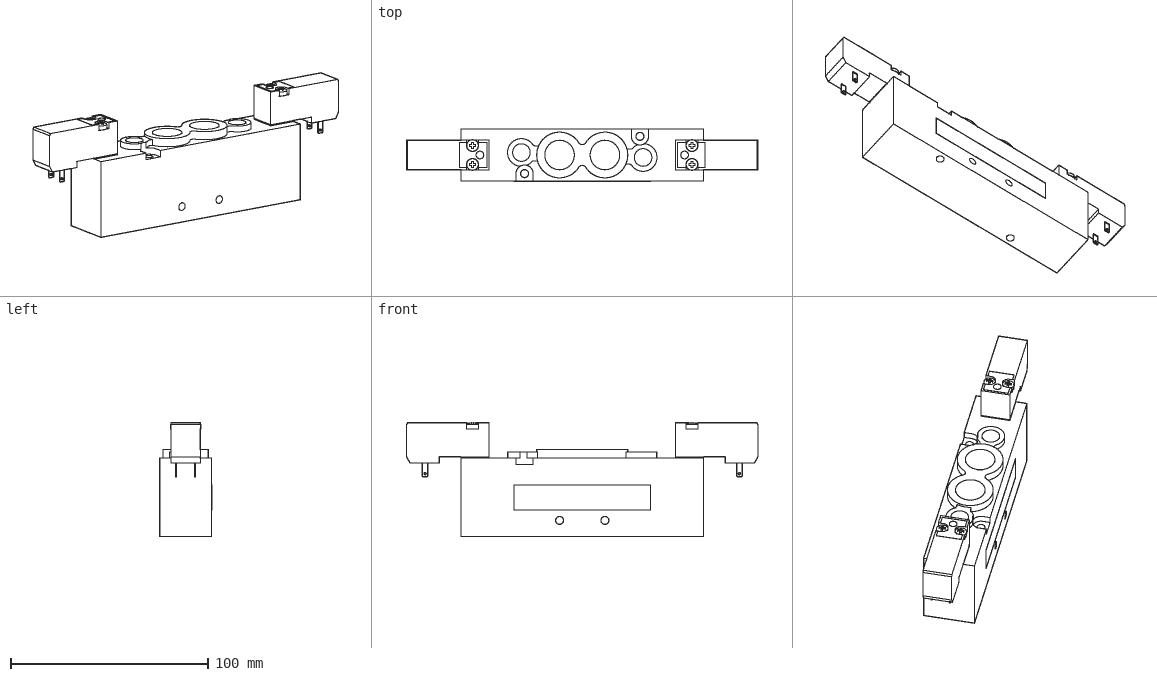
import cadquery as cq
import math

OVERALL_LENGTH = 178.2
OVERALL_HEIGHT = 57.7
OVERALL_WIDTH = 26.5
HOUSING_LENGTH = 123.0
HOUSING_HEIGHT = 40.0

MAIN_PORT_SPACING = 23.0
MAIN_PORT_OFFSET = MAIN_PORT_SPACING / 2
MAIN_COLLAR_DIAMETER = 23.2
MAIN_COLLAR_HEIGHT = 4.3
MAIN_BORE_DIAMETER = 15.0
MAIN_BORE_DEPTH = 14.3
WAIST_RADIUS = 2.0

PILOT_PORT_X = 30.8
PILOT_PORT_Y = 1.2
PILOT_COLLAR_DIAMETER = 14.0
PILOT_COLLAR_HEIGHT = 3.0
PILOT_BORE_DIAMETER = 8.9
PILOT_BORE_DEPTH = 8.9
BRIDGE_WIDTH = 7.5
BRIDGE_Y = 0.8
BRIDGE_FILLET = 2.0

MOUNT_X = 29.2
MOUNT_Y = 9.5
MOUNT_SEAT_WIDTH = 8.7
MOUNT_SEAT_DEPTH = 3.4
HOLE_DIAMETER = 4.0
SIDE_HOLE_HEIGHT = 8.2
NAMEPLATE_LENGTH = 69.1
NAMEPLATE_HEIGHT = 12.8
NAMEPLATE_BOTTOM = 13.4
NAMEPLATE_THICKNESS = 0.1

HOUSING_WIDTH = OVERALL_WIDTH - NAMEPLATE_THICKNESS

GASKET_THICKNESS = 0.5
SOLENOID_LENGTH = 41.9
SOLENOID_WIDTH = 15.0
CONNECTOR_LENGTH = 16.8
CONNECTOR_DROP = 3.2
LOWER_CHAMFER_LENGTH = 1.8
LOWER_CHAMFER_HEIGHT = 3.2
UPPER_CHAMFER_LENGTH = 0.5
UPPER_CHAMFER_HEIGHT = 1.0

PANEL_LENGTH = 13.9
PANEL_WIDTH = 12.8
PANEL_DEPTH = 0.1
PANEL_MARGIN = 1.0
BUTTON_DIAMETER = 4.0
BUTTON_INSET = 4.6

SCREW_INSET = 8.4
PAIR_SPACING = 9.6
SCREW_DIAMETER = 5.9
SCREW_POCKET_WIDTH = 6.0
SCREW_POCKET_DEPTH = 3.2
SCREW_RIM_DEPTH = 1.0
SCREW_DOME_HEIGHT = 1.0
CROSS_LENGTH = 3.0
CROSS_WIDTH = 0.8
CROSS_DEPTH = 1.0

TERMINAL_FROM_END = 9.5
TERMINAL_WIDTH = 2.9
TERMINAL_THICKNESS = 0.5
TERMINAL_LENGTH = 7.0
TERMINAL_CORNER = 0.4
TERMINAL_HOLE_DIAMETER = 1.0
TERMINAL_HOLE_FROM_TIP = 1.6

SOLENOID_OUTER_X = OVERALL_LENGTH / 2
SOLENOID_INNER_X = SOLENOID_OUTER_X - SOLENOID_LENGTH
SOLENOID_BASE = HOUSING_HEIGHT + GASKET_THICKNESS
CONNECTOR_BASE = SOLENOID_BASE - CONNECTOR_DROP
SCREW_X = SOLENOID_INNER_X + SCREW_INSET
PAIR_Y = (-PAIR_SPACING / 2, PAIR_SPACING / 2)


def box(length, width, height, x, y, z):
    """Box centred on (x, y) and standing on height z."""
    return cq.Workplane("XY", origin=(x, y, z)).box(length, width, height, centered=(True, True, False))


def cylinder(diameter, height, x, y, z):
    """Upright cylinder standing on height z."""
    return cq.Workplane("XY", origin=(x, y, z)).circle(diameter / 2).extrude(height)


def half_turn(shape):
    """Copy turned by 180 degrees about the vertical axis of the housing."""
    return shape.rotate((0, 0, 0), (0, 0, 1), 180)


def main_collars():
    """Two round collars whose meeting corners are rounded into a waist."""
    radius = MAIN_COLLAR_DIAMETER / 2
    collars = cylinder(MAIN_COLLAR_DIAMETER, MAIN_COLLAR_HEIGHT, MAIN_PORT_OFFSET, 0, HOUSING_HEIGHT)
    collars = collars.union(half_turn(collars))
    arc_centre_y = math.sqrt((radius + WAIST_RADIUS) ** 2 - MAIN_PORT_OFFSET**2)
    reach = radius / (radius + WAIST_RADIUS)
    touch_x = MAIN_PORT_OFFSET * (1 - reach)
    touch_y = arc_centre_y * reach
    waist_y = arc_centre_y - WAIST_RADIUS
    waist = (
        cq.Workplane("XY", origin=(0, 0, HOUSING_HEIGHT))
        .moveTo(-touch_x, -touch_y)
        .threePointArc((0, -waist_y), (touch_x, -touch_y))
        .lineTo(touch_x, touch_y)
        .threePointArc((0, waist_y), (-touch_x, touch_y))
        .close()
        .extrude(MAIN_COLLAR_HEIGHT)
    )
    return collars.union(waist)


def pilot_collar():
    """Lower collar at the +X end with the web that joins it to the main collar."""
    collar = cylinder(PILOT_COLLAR_DIAMETER, PILOT_COLLAR_HEIGHT, PILOT_PORT_X, -PILOT_PORT_Y, HOUSING_HEIGHT)
    bridge_length = PILOT_PORT_X - MAIN_PORT_OFFSET
    bridge_x = (PILOT_PORT_X + MAIN_PORT_OFFSET) / 2
    bridge = box(bridge_length, BRIDGE_WIDTH, PILOT_COLLAR_HEIGHT, bridge_x, -BRIDGE_Y, HOUSING_HEIGHT)
    corner_x = PILOT_PORT_X - PILOT_COLLAR_DIAMETER / 2
    corners = cq.selectors.BoxSelector(
        (corner_x, -MOUNT_Y, HOUSING_HEIGHT),
        (PILOT_PORT_X - BRIDGE_FILLET, MOUNT_Y, HOUSING_HEIGHT + PILOT_COLLAR_HEIGHT),
    )
    return collar.union(bridge).edges("|Z").edges(corners).fillet(BRIDGE_FILLET)


def bore(diameter, depth, x, y, top):
    """Blind bore going down from height top."""
    return cylinder(diameter, depth, x, y, top - depth)


def mounting_cut():
    """Mounting hole with a round-ended seat that opens through the +Y side."""
    seat_base = HOUSING_HEIGHT - MOUNT_SEAT_DEPTH
    seat_height = MOUNT_SEAT_DEPTH + PILOT_COLLAR_HEIGHT
    to_side = HOUSING_WIDTH / 2 - MOUNT_Y
    seat = cylinder(MOUNT_SEAT_WIDTH, seat_height, MOUNT_X, MOUNT_Y, seat_base)
    mouth = box(MOUNT_SEAT_WIDTH, to_side, seat_height, MOUNT_X, MOUNT_Y + to_side / 2, seat_base)
    hole = cylinder(HOLE_DIAMETER, HOUSING_HEIGHT, MOUNT_X, MOUNT_Y, 0)
    return seat.union(mouth).union(hole)


def side_holes():
    """Two holes running through the housing along Y."""
    return (
        cq.Workplane("XZ", origin=(0, HOUSING_WIDTH / 2, SIDE_HOLE_HEIGHT))
        .pushPoints([(-MAIN_PORT_OFFSET, 0), (MAIN_PORT_OFFSET, 0)])
        .circle(HOLE_DIAMETER / 2)
        .extrude(HOUSING_WIDTH)
    )


def nameplate():
    """Thin raised field on the -Y side."""
    y = -(HOUSING_WIDTH + NAMEPLATE_THICKNESS) / 2
    return box(NAMEPLATE_LENGTH, NAMEPLATE_THICKNESS, NAMEPLATE_HEIGHT, 0, y, NAMEPLATE_BOTTOM)


def make_housing():
    body = box(HOUSING_LENGTH, HOUSING_WIDTH, HOUSING_HEIGHT, 0, 0, 0)
    collar = pilot_collar()
    body = body.union(main_collars()).union(collar).union(half_turn(collar))
    main_top = HOUSING_HEIGHT + MAIN_COLLAR_HEIGHT
    pilot_top = HOUSING_HEIGHT + PILOT_COLLAR_HEIGHT
    end_cuts = (
        bore(MAIN_BORE_DIAMETER, MAIN_BORE_DEPTH, MAIN_PORT_OFFSET, 0, main_top),
        bore(PILOT_BORE_DIAMETER, PILOT_BORE_DEPTH, PILOT_PORT_X, -PILOT_PORT_Y, pilot_top),
        mounting_cut(),
    )
    for cut in end_cuts:
        body = body.cut(cut).cut(half_turn(cut))
    return body.cut(side_holes()).union(nameplate())


def make_gasket():
    """Thin sheet between the housing and the part of the solenoid above it."""
    length = HOUSING_LENGTH / 2 - SOLENOID_INNER_X
    return box(length, SOLENOID_WIDTH, GASKET_THICKNESS, SOLENOID_INNER_X + length / 2, 0, HOUSING_HEIGHT)


def solenoid_block():
    """Side outline with a deeper connector part and two chamfers at the outer end."""
    step_x = SOLENOID_OUTER_X - CONNECTOR_LENGTH
    outline = [
        (SOLENOID_INNER_X, SOLENOID_BASE),
        (step_x, SOLENOID_BASE),
        (step_x, CONNECTOR_BASE),
        (SOLENOID_OUTER_X - LOWER_CHAMFER_LENGTH, CONNECTOR_BASE),
        (SOLENOID_OUTER_X, CONNECTOR_BASE + LOWER_CHAMFER_HEIGHT),
        (SOLENOID_OUTER_X, OVERALL_HEIGHT - UPPER_CHAMFER_HEIGHT),
        (SOLENOID_OUTER_X - UPPER_CHAMFER_LENGTH, OVERALL_HEIGHT),
        (SOLENOID_INNER_X, OVERALL_HEIGHT),
    ]
    return cq.Workplane("XZ").polyline(outline).close().extrude(SOLENOID_WIDTH / 2, both=True)


def panel_recess():
    """Shallow rectangular recess that leaves the round override button standing."""
    floor = OVERALL_HEIGHT - PANEL_DEPTH
    panel_x = SOLENOID_INNER_X + PANEL_MARGIN + PANEL_LENGTH / 2
    panel = box(PANEL_LENGTH, PANEL_WIDTH, PANEL_DEPTH, panel_x, 0, floor)
    return panel.cut(cylinder(BUTTON_DIAMETER, PANEL_DEPTH, SOLENOID_INNER_X + BUTTON_INSET, 0, floor))


def screw_pocket(y):
    """Round-ended pocket around a screw, open through the nearer side of the solenoid."""
    base = OVERALL_HEIGHT - SCREW_POCKET_DEPTH
    to_side = SOLENOID_WIDTH / 2 - PAIR_SPACING / 2
    mouth_y = y + math.copysign(to_side / 2, y)
    mouth = box(SCREW_POCKET_WIDTH, to_side, SCREW_POCKET_DEPTH, SCREW_X, mouth_y, base)
    return mouth.union(cylinder(SCREW_POCKET_WIDTH, SCREW_POCKET_DEPTH, SCREW_X, y, base))


def screw_head(y):
    """Domed screw head with a cross recess, standing on its pocket floor."""
    radius = SCREW_DIAMETER / 2
    base = OVERALL_HEIGHT - SCREW_POCKET_DEPTH
    rim = SCREW_POCKET_DEPTH - SCREW_RIM_DEPTH
    crown = rim + SCREW_DOME_HEIGHT
    sphere_radius = (radius**2 + SCREW_DOME_HEIGHT**2) / (2 * SCREW_DOME_HEIGHT)
    half_radius = radius / 2
    mid_height = crown - sphere_radius + math.sqrt(sphere_radius**2 - half_radius**2)
    head = (
        cq.Workplane("XZ", origin=(SCREW_X, y, base))
        .lineTo(radius, 0)
        .lineTo(radius, rim)
        .threePointArc((half_radius, mid_height), (0, crown))
        .close()
        .revolve(360, (0, 0), (0, 1))
    )
    cross_base = base + crown - CROSS_DEPTH
    for length, width in ((CROSS_LENGTH, CROSS_WIDTH), (CROSS_WIDTH, CROSS_LENGTH)):
        head = head.cut(box(length, width, CROSS_DEPTH, SCREW_X, y, cross_base))
    return head


def terminal(y):
    """Flat blade hanging below the connector, with a small hole near its tip."""
    x = SOLENOID_OUTER_X - TERMINAL_FROM_END
    tip = CONNECTOR_BASE - TERMINAL_LENGTH
    blade = box(TERMINAL_WIDTH, TERMINAL_THICKNESS, TERMINAL_LENGTH, x, y, tip)
    blade = blade.edges("|Y and <Z").chamfer(TERMINAL_CORNER)
    hole = (
        cq.Workplane("XZ", origin=(x, y, tip + TERMINAL_HOLE_FROM_TIP))
        .circle(TERMINAL_HOLE_DIAMETER / 2)
        .extrude(TERMINAL_THICKNESS, both=True)
    )
    return blade.cut(hole)


def make_solenoid():
    body = solenoid_block().cut(panel_recess())
    for y in PAIR_Y:
        body = body.cut(screw_pocket(y))
        body = body.union(screw_head(y)).union(terminal(y))
    return body


housing = make_housing()
gasket = make_gasket()
solenoid = make_solenoid()

bodies = [housing.val()]
for end_part in (gasket, solenoid):
    bodies.append(end_part.val())
    bodies.append(end_part.mirror("YZ").val())

result = cq.Compound.makeCompound(bodies)